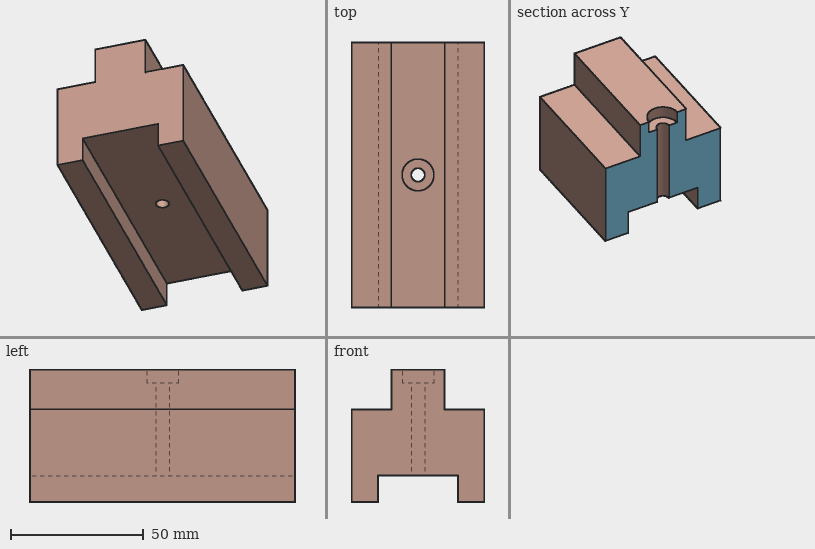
import cadquery as cq

length = 100.0
width = 50.0
height = 50.0

rail_width = 20.0
rail_height = 15.0

channel_width = 30.0
channel_depth = 10.0

hole_diameter = 5.0
counterbore_diameter = 12.0
counterbore_depth = 5.0

shoulder_height = height - rail_height

body = cq.Workplane("XY").box(width, length, shoulder_height, centered=(True, True, False))
rail = cq.Workplane("XY").box(rail_width, length, height, centered=(True, True, False))
channel = cq.Workplane("XY").box(channel_width, length, channel_depth, centered=(True, True, False))
block = body.union(rail).cut(channel)

result = (
    block.faces(">Z")
    .workplane(centerOption="CenterOfBoundBox")
    .cboreHole(hole_diameter, counterbore_diameter, counterbore_depth)
)